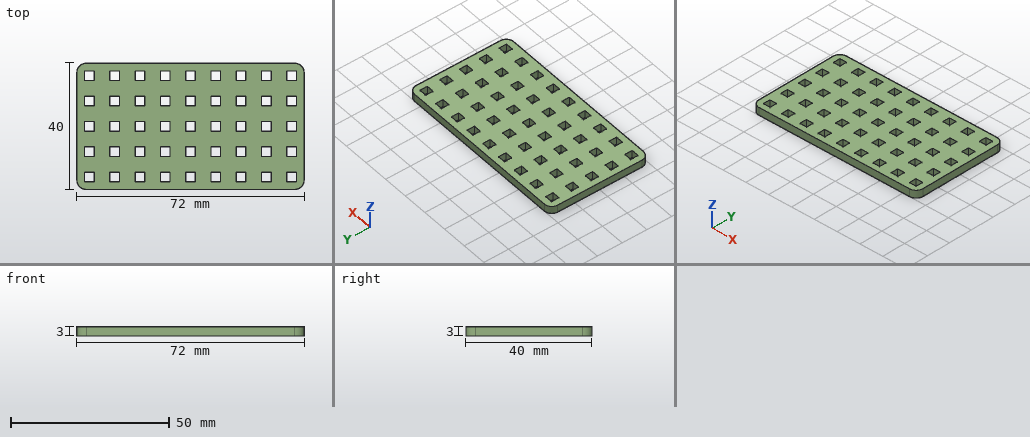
import cadquery as cq

columns = 9
rows = 5
length = 72.0
pitch = length / columns
width = rows * pitch

thickness = 3.0
corner_radius = 3.0
hole_side = 2.95

plate = cq.Workplane("XY").box(length, width, thickness).edges("|Z").fillet(corner_radius)

result = (
    plate.faces(">Z")
    .workplane()
    .rarray(pitch, pitch, columns, rows)
    .rect(hole_side, hole_side)
    .cutThruAll()
)